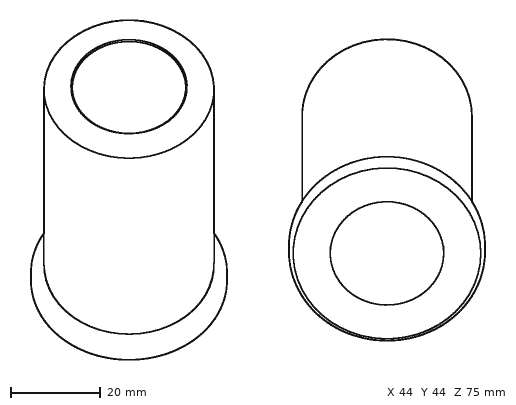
import cadquery as cq

total_height = 75.0
bore_diameter = 25.4
bore_chamfer = 0.3

flange_diameter = 44.0
flange_height = 5.0
flange_chamfer = 1.0
flange_rounding = 0.5

body_diameter = 38.1
body_start_height = 6.5
body_start_rounding = 0.5
tip_chamfer_width = 0.6
tip_chamfer_height = 1.0
tip_rounding = 0.5

groove_diameter = 37.8
groove_fillet = 0.4


def cylinder(diameter, bottom, top):
    """Upright cylinder on the Z axis between two heights."""
    return cq.Workplane("XY").workplane(offset=bottom).circle(diameter / 2).extrude(top - bottom)


def make_foot():
    """Flange with chamfered rims, softened above its seat, and the groove neck filleted onto it."""
    flange = cylinder(flange_diameter, 0, flange_height)
    flange = flange.faces("|Z").edges().chamfer(flange_chamfer)
    flange = flange.edges("%CIRCLE and (not <Z)").fillet(flange_rounding)

    neck_top = body_start_height + body_start_rounding
    foot = flange.union(cylinder(groove_diameter, 0, neck_top))
    neck_corner = cq.selectors.RadiusNthSelector(0)
    return foot.faces("|Z").faces(">Z[-2]").edges(neck_corner).fillet(groove_fillet)


def make_body():
    """Cylinder with a rounded lower edge and a steep, rounded lead-in at the tip."""
    body = cylinder(body_diameter, body_start_height, total_height)
    body = body.faces("<Z").edges().fillet(body_start_rounding)
    body = body.faces(">Z").edges().chamfer(tip_chamfer_height, tip_chamfer_width)
    return body.faces(">Z").edges().fillet(tip_rounding)


def cut_bore(sleeve):
    """Through bore with a small chamfer at the upper mouth."""
    bored = sleeve.cut(cylinder(bore_diameter, 0, total_height))
    bore_mouth = cq.selectors.RadiusNthSelector(0)
    return bored.faces(">Z").edges(bore_mouth).chamfer(bore_chamfer)


result = cut_bore(make_foot().union(make_body()))